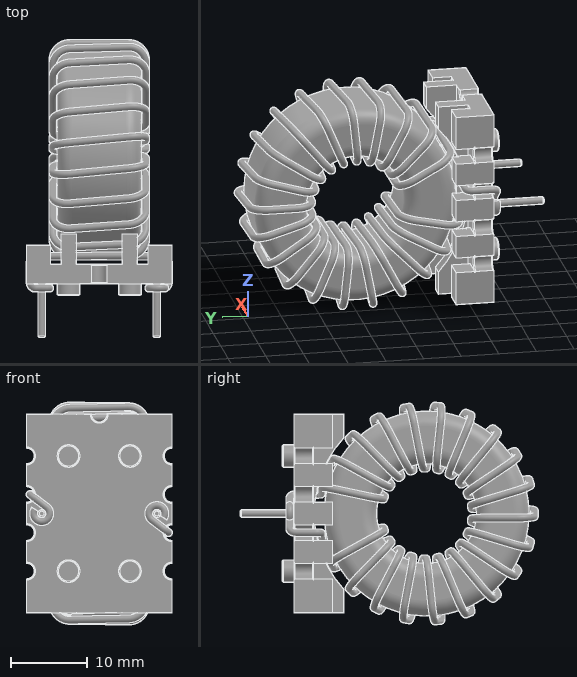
import cadquery as cq
import math


CLEARANCE = 0.05

CORE_OUTER_RADIUS = 13.4
CORE_INNER_RADIUS = 6.5
CORE_HALF_WIDTH = 5.5
CORE_FILLET = 2.0

WIRE_RADIUS = 0.5
TURN_COUNT = 20
TURN_PITCH = 16.8
COIL_OUTER_RADIUS = 14.1
COIL_INNER_RADIUS = 5.9
COIL_HALF_WIDTH = 6.07
FACE_OFFSET = 0.6
COIL_BEND = 2.25
LEAD_BEND = 0.85
LEAD_SPAN = 19.1
LEAD_RUN_X = LEAD_SPAN / 2 - WIRE_RADIUS
LEAD_TURN_Y = -13.75
LEAD_WRAP = 265

BASE_WIDTH = 19.0
BASE_LENGTH = 25.92
PLATE_TOP_Y = -14.75
PLATE_BOTTOM_Y = -17.3

WALL_TOP_Y = -12.25
WALL_INNER_X = 6.35
RAIL_TOP_Y = -10.8
RAIL_INNER_X = 3.0
RAIL_OUTER_X = 5.0
CRADLE_RADIUS = COIL_OUTER_RADIUS + WIRE_RADIUS + CLEARANCE
CRADLE_HALF_WIDTH = COIL_HALF_WIDTH + WIRE_RADIUS + CLEARANCE

SLOT_WIDTH = 2.02
NOTCH_RADIUS = SLOT_WIDTH / 2
NOTCH_CHAMFER = 0.15
SLOT_Z_NEAR = 2.5
SLOT_Z_FAR = 7.5
SLOT_PLACES = (-SLOT_Z_FAR, -SLOT_Z_NEAR, SLOT_Z_NEAR, SLOT_Z_FAR)

FOOT_RADIUS = 1.48
FOOT_HEIGHT = 1.5
FOOT_CHAMFER = 0.15
FOOT_X = 4.0
FOOT_Z = SLOT_Z_FAR
PIN_RADIUS = 0.5
PIN_CHAMFER = 0.2
PIN_X = 7.5
PIN_TIP_Y = -24.32

WRAP_RADIUS = WIRE_RADIUS + PIN_RADIUS + CLEARANCE
WRAP_Y = PLATE_BOTTOM_Y - WIRE_RADIUS - CLEARANCE


def make_core():
    """Ring of rectangular section with rounded edges."""
    ring = (
        cq.Workplane("YZ", origin=(-CORE_HALF_WIDTH, 0, 0))
        .circle(CORE_OUTER_RADIUS)
        .circle(CORE_INNER_RADIUS)
        .extrude(2 * CORE_HALF_WIDTH)
    )
    return ring.edges("%CIRCLE").fillet(CORE_FILLET)


def upright_box(x_min, x_max, y_min, y_max, z_length, z_centre=0):
    """Box given by its X and Y limits and its length and centre along Z."""
    size = (x_max - x_min, y_max - y_min, z_length)
    centre = ((x_min + x_max) / 2, (y_min + y_max) / 2, z_centre)
    return cq.Workplane(origin=centre).box(*size)


def down_peg(x, z, y_top, y_bottom, radius, chamfer):
    """Round peg pointing to -Y with a chamfered tip."""
    peg = cq.Workplane("XZ", origin=(x, y_top, z)).circle(radius).extrude(y_top - y_bottom)
    return peg.faces("<Y").chamfer(chamfer)


def notch_cutter(x, z):
    """Round cutter through the plate that widens to a chamfer at both plate faces."""
    wide = NOTCH_RADIUS + NOTCH_CHAMFER
    return (
        cq.Workplane("XY")
        .moveTo(0, PLATE_BOTTOM_Y)
        .lineTo(wide, PLATE_BOTTOM_Y)
        .lineTo(NOTCH_RADIUS, PLATE_BOTTOM_Y + NOTCH_CHAMFER)
        .lineTo(NOTCH_RADIUS, PLATE_TOP_Y - NOTCH_CHAMFER)
        .lineTo(wide, PLATE_TOP_Y)
        .lineTo(0, PLATE_TOP_Y)
        .close()
        .revolve(360, (0, 0, 0), (0, 1, 0))
        .translate((x, 0, z))
    )


def make_plate():
    """Flat plate with wire notches along both sides and a marking notch at the +Z end."""
    half_width = BASE_WIDTH / 2
    plate = upright_box(-half_width, half_width, PLATE_BOTTOM_Y, PLATE_TOP_Y, BASE_LENGTH)
    for z in SLOT_PLACES:
        for x in (-half_width, half_width):
            plate = plate.cut(notch_cutter(x, z))
    return plate.cut(notch_cutter(0, BASE_LENGTH / 2))


def make_supports():
    """Slotted side walls and inner rails, hollowed to the round of the coil."""
    half_width = BASE_WIDTH / 2
    walls = upright_box(-half_width, half_width, PLATE_TOP_Y, WALL_TOP_Y, BASE_LENGTH)
    walls = walls.cut(upright_box(-WALL_INNER_X, WALL_INNER_X, PLATE_TOP_Y, WALL_TOP_Y, BASE_LENGTH))
    for z in SLOT_PLACES:
        walls = walls.cut(upright_box(-half_width, half_width, PLATE_TOP_Y, WALL_TOP_Y, SLOT_WIDTH, z))
    rails = upright_box(-RAIL_OUTER_X, RAIL_OUTER_X, PLATE_TOP_Y, RAIL_TOP_Y, BASE_LENGTH)
    rails = rails.cut(upright_box(-RAIL_INNER_X, RAIL_INNER_X, PLATE_TOP_Y, RAIL_TOP_Y, BASE_LENGTH))
    cradle = (
        cq.Workplane("YZ", origin=(-CRADLE_HALF_WIDTH, 0, 0))
        .circle(CRADLE_RADIUS)
        .extrude(2 * CRADLE_HALF_WIDTH)
    )
    return walls.union(rails).cut(cradle)


def make_base():
    """Moulded base with its stand-off feet and terminal pins."""
    base = make_plate().union(make_supports())
    for side in (-1, 1):
        for z in (-FOOT_Z, FOOT_Z):
            foot_bottom = PLATE_BOTTOM_Y - FOOT_HEIGHT
            base = base.union(
                down_peg(side * FOOT_X, z, PLATE_BOTTOM_Y, foot_bottom, FOOT_RADIUS, FOOT_CHAMFER)
            )
        base = base.union(down_peg(side * PIN_X, 0, PLATE_BOTTOM_Y, PIN_TIP_Y, PIN_RADIUS, PIN_CHAMFER))
    return base


def coil_corner(side, direction, radius):
    """Corner on one face (side -1 or +1 along X) of the turn that points in `direction`.

    Directions are degrees in the YZ plane, from +Y towards +Z.
    """
    angle = math.radians(direction) - side * math.asin(FACE_OFFSET / radius)
    return cq.Vector(side * COIL_HALF_WIDTH, radius * math.cos(angle), radius * math.sin(angle))


def half_turn_about_y(point):
    return cq.Vector(-point.x, point.y, -point.z)


def wrap_point(angle):
    """Point at `angle` degrees, from +X towards +Z, on the wrap around the -X pin."""
    turn = math.radians(angle)
    return cq.Vector(-PIN_X + WRAP_RADIUS * math.cos(turn), WRAP_Y, WRAP_RADIUS * math.sin(turn))


def wrap_tangent_angle():
    """Angle on the wrap around the -X pin where the straight lead leaves it."""
    dx = PIN_X - LEAD_RUN_X
    reach = math.hypot(dx, SLOT_Z_NEAR)
    return math.degrees(math.atan2(SLOT_Z_NEAR, dx) - math.acos(WRAP_RADIUS / reach))


def winding_corners():
    """Sharp corners of the wire from the -X lead to the +X lead, each with its bend radius."""
    lead = [
        (cq.Vector(-LEAD_RUN_X, WRAP_Y, SLOT_Z_NEAR), LEAD_BEND),
        (cq.Vector(-LEAD_RUN_X, LEAD_TURN_Y, SLOT_Z_NEAR), LEAD_BEND),
    ]
    coil = []
    first_direction = TURN_COUNT * TURN_PITCH / 2
    for turn in range(TURN_COUNT + 1):
        direction = first_direction - turn * TURN_PITCH
        if turn > 0:
            coil.append(coil_corner(-1, direction, COIL_INNER_RADIUS))
            coil.append(coil_corner(-1, direction, COIL_OUTER_RADIUS))
        if turn < TURN_COUNT:
            coil.append(coil_corner(1, direction, COIL_OUTER_RADIUS))
            coil.append(coil_corner(1, direction, COIL_INNER_RADIUS))
    other_lead = [(half_turn_about_y(point), bend) for point, bend in reversed(lead)]
    return lead + [(point, COIL_BEND) for point in coil] + other_lead


def rounded_path(start, corners, end):
    """Straight runs from start to end, joined at each corner by a tangent arc."""
    edges = []
    run_start = start
    following = [point for point, _ in corners[1:]] + [end]
    for (corner, bend), after in zip(corners, following):
        back = (run_start - corner).normalized()
        ahead = (after - corner).normalized()
        half_angle = back.getAngle(ahead) / 2
        setback = bend / math.tan(half_angle)
        arc_depth = bend / math.sin(half_angle) - bend
        arc_start = corner + back * setback
        arc_middle = corner + (back + ahead).normalized() * arc_depth
        arc_end = corner + ahead * setback
        edges.append(cq.Edge.makeLine(run_start, arc_start))
        edges.append(cq.Edge.makeThreePointArc(arc_start, arc_middle, arc_end))
        run_start = arc_end
    edges.append(cq.Edge.makeLine(run_start, end))
    return edges


def make_winding():
    """Wire wrapped around one pin, wound about the core and wrapped around the other pin."""
    tangent_angle = wrap_tangent_angle()
    wrap = [wrap_point(tangent_angle - LEAD_WRAP * part) for part in (1, 0.5, 0)]
    other_wrap = [half_turn_about_y(point) for point in reversed(wrap)]
    path = cq.Wire.assembleEdges(
        [cq.Edge.makeThreePointArc(*wrap)]
        + rounded_path(wrap[-1], winding_corners(), other_wrap[0])
        + [cq.Edge.makeThreePointArc(*other_wrap)]
    )
    wire_end = cq.Plane(origin=wrap[0], xDir=(0, 1, 0), normal=path.tangentAt(0))
    return cq.Workplane(wire_end).circle(WIRE_RADIUS).sweep(path)


core = make_core()
base = make_base()
winding = make_winding()

result = cq.Compound.makeCompound([core.solids().val(), base.solids().val(), winding.val()])